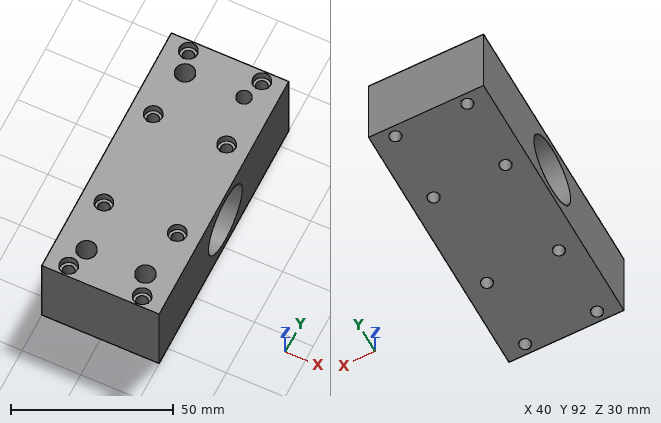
import cadquery as cq

width = 40.0
length = 92.0
height = 30.0

bore_diameter = 24.0
bore_offset_y = 1.0

screw_diameter = 4.0
counterbore_diameter = 6.0
counterbore_depth = 3.0
screw_spacing = 25.0
screw_end_margin = 3.5

blind_diameter = 6.5
small_blind_diameter = 5.0
blind_depth = 12.0
blind_x = 10.0
blind_y = 35.0


def screw_positions():
    """Centres of the screw holes, mirrored about both middle planes."""
    x = screw_spacing / 2
    outer_y = length / 2 - screw_end_margin
    inner_y = outer_y - screw_spacing
    return [(side * x, end * y) for side in (-1, 1) for end in (-1, 1) for y in (inner_y, outer_y)]


def cut_blind_holes(body, diameter, positions):
    """Drill flat-bottomed holes down from the top face."""
    return body.faces(">Z").workplane(origin=(0, 0, 0)).pushPoints(positions).hole(diameter, blind_depth)


block = cq.Workplane("XY").box(width, length, height)

bore = cq.Workplane("YZ").center(bore_offset_y, 0).circle(bore_diameter / 2).extrude(width / 2, both=True)
block = block.cut(bore)

block = (
    block.faces(">Z")
    .workplane(origin=(0, 0, 0))
    .pushPoints(screw_positions())
    .cboreHole(screw_diameter, counterbore_diameter, counterbore_depth)
)

large_blind_positions = [(-blind_x, -blind_y), (blind_x, -blind_y), (-blind_x, blind_y)]
block = cut_blind_holes(block, blind_diameter, large_blind_positions)
result = cut_blind_holes(block, small_blind_diameter, [(blind_x, blind_y)])